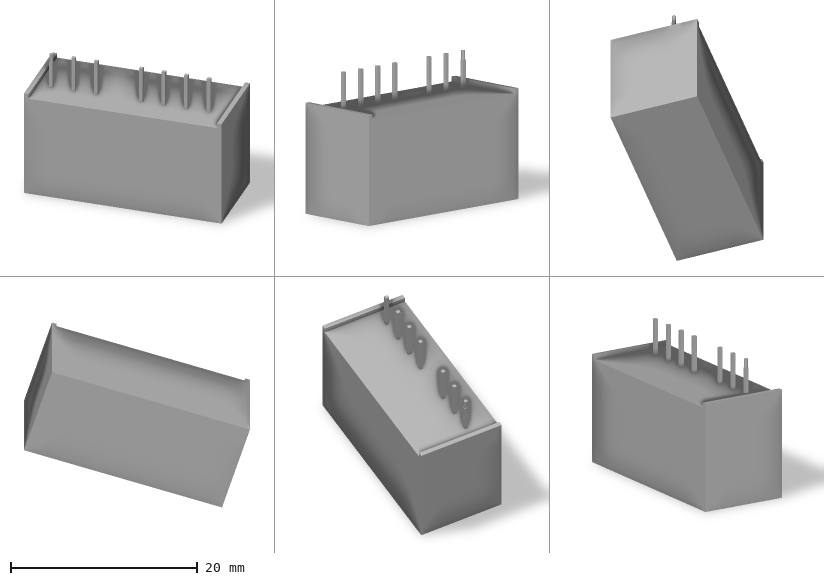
import cadquery as cq

body_length = 22.3
body_width = 9.8
overall_height = 15.6
rail_top_height = 12.1
rail_height = 0.55
rail_thickness = 0.54

pin_side = 0.4
pin_pitch = 2.55
pin_slots = (0, 1, 2, 4, 5, 6, 7)
first_pin_from_end = 2.0
pin_row_from_front = 3.3
round_tip_length = 1.0

deck_height = rail_top_height - rail_height
deck_length = body_length - 2 * rail_thickness
pin_height = overall_height - deck_height
first_pin_x = first_pin_from_end - body_length / 2
pin_row_y = pin_row_from_front - body_width / 2


def make_body():
    """Block with its underside at Z = 0 and a low rail along each X end."""
    block = cq.Workplane("XY").box(
        body_length, body_width, rail_top_height, centered=(True, True, False)
    )
    space_between_rails = (
        cq.Workplane("XY")
        .workplane(offset=deck_height)
        .rect(deck_length, body_width)
        .extrude(rail_height)
    )
    return block.cut(space_between_rails)


def make_square_pin(x, height):
    """Square pin standing on the deck."""
    return (
        cq.Workplane("XY", origin=(x, pin_row_y, deck_height))
        .rect(pin_side, pin_side)
        .extrude(height)
    )


def make_round_tipped_pin(x):
    """Square pin whose end is turned down to a cylinder as wide as the pin."""
    shank = make_square_pin(x, pin_height - round_tip_length)
    return shank.faces(">Z").workplane().circle(pin_side / 2).extrude(round_tip_length)


result = make_body()
for slot in pin_slots:
    pin_x = first_pin_x + slot * pin_pitch
    if slot == 0:
        pin = make_round_tipped_pin(pin_x)
    else:
        pin = make_square_pin(pin_x, pin_height)
    result = result.union(pin)